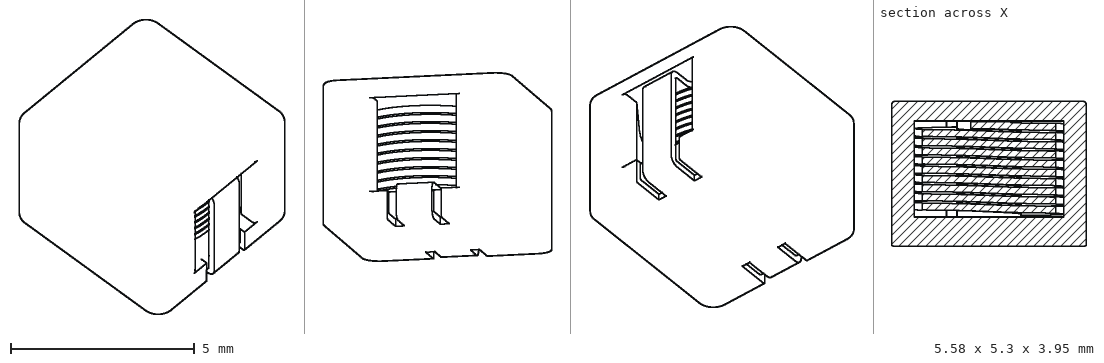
import cadquery as cq
import math

BODY_X = 5.5
BODY_Y = 5.3
BODY_Z = 3.95
CORNER_RADIUS = 0.5
TOP_FILLET = 0.1
BOTTOM_FILLET = 0.05

FLOOR_Z = 0.8
CEILING_Z = 3.4
CHAMBER_HEIGHT = CEILING_Z - FLOOR_Z
CHAMBER_RADIUS = 2.25
WINDOW_HALF_WIDTH = 1.15
WINDOW_EDGE_RADIUS = 0.1

CORE_RADIUS = 1.75 / 2
WIRE_HEIGHT = 0.2
WIRE_OUTER_RADIUS = 2.07
WIRE_OVERLAP = 0.05
WIRE_INNER_RADIUS = CORE_RADIUS - WIRE_OVERLAP
COIL_PITCH = 0.25
COIL_TURNS = 9.5
COIL_RISE = COIL_PITCH * COIL_TURNS
COIL_BOTTOM_Z = FLOOR_Z + (CHAMBER_HEIGHT - COIL_RISE - WIRE_HEIGHT) / 2

TERMINAL_WIDTH = 1.0
TERMINAL_THICKNESS = WIRE_HEIGHT
TERMINAL_PROTRUSION = 0.04
TERMINAL_BEND_RADIUS = 0.265
TERMINAL_FACE_X = BODY_X / 2 + TERMINAL_PROTRUSION
LEAD_CORE_GAP = 0.1
TERMINAL_INNER_X = CORE_RADIUS + LEAD_CORE_GAP
FOOT_LENGTH = 1.0
LEAD_FILLET = 0.15

GROOVE_WIDTH = 1.5
GROOVE_EDGE_RADIUS = 0.05
GROOVE_BACK_X = TERMINAL_FACE_X - TERMINAL_THICKNESS
FOOT_GROOVE_END_X = TERMINAL_FACE_X - FOOT_LENGTH


def make_housing():
    housing = cq.Workplane("XY").box(BODY_X, BODY_Y, BODY_Z, centered=(True, True, False))
    housing = housing.edges("|Z").fillet(CORNER_RADIUS)
    housing = housing.faces(">Z").edges().fillet(TOP_FILLET)
    return housing.faces("<Z").edges().fillet(BOTTOM_FILLET)


def make_chamber():
    """Round chamber whose wall runs on along tangents to the inner corners of the windows."""
    corner_angle = math.atan2(WINDOW_HALF_WIDTH, CHAMBER_RADIUS)
    corner_distance = math.hypot(WINDOW_HALF_WIDTH, CHAMBER_RADIUS)
    tangent_angle = corner_angle + math.acos(CHAMBER_RADIUS / corner_distance)
    tangent_x = CHAMBER_RADIUS * math.cos(tangent_angle)
    tangent_y = CHAMBER_RADIUS * math.sin(tangent_angle)
    return (
        cq.Workplane("XY", origin=(0, 0, FLOOR_Z))
        .moveTo(CHAMBER_RADIUS, -WINDOW_HALF_WIDTH)
        .lineTo(CHAMBER_RADIUS, WINDOW_HALF_WIDTH)
        .lineTo(tangent_x, tangent_y)
        .threePointArc((0, CHAMBER_RADIUS), (-tangent_x, tangent_y))
        .lineTo(-CHAMBER_RADIUS, WINDOW_HALF_WIDTH)
        .lineTo(-CHAMBER_RADIUS, -WINDOW_HALF_WIDTH)
        .lineTo(-tangent_x, -tangent_y)
        .threePointArc((0, -CHAMBER_RADIUS), (tangent_x, -tangent_y))
        .close()
        .extrude(CHAMBER_HEIGHT)
    )


def make_window():
    """Window in the -X wall; its upright outer edges are rounded."""
    face_x = -BODY_X / 2
    flared_half_width = WINDOW_HALF_WIDTH + WINDOW_EDGE_RADIUS
    flare_end_x = face_x + WINDOW_EDGE_RADIUS
    return (
        cq.Workplane("XY", origin=(0, 0, FLOOR_Z))
        .moveTo(face_x, flared_half_width)
        .radiusArc((flare_end_x, WINDOW_HALF_WIDTH), -WINDOW_EDGE_RADIUS)
        .lineTo(-CHAMBER_RADIUS, WINDOW_HALF_WIDTH)
        .lineTo(-CHAMBER_RADIUS, -WINDOW_HALF_WIDTH)
        .lineTo(flare_end_x, -WINDOW_HALF_WIDTH)
        .radiusArc((face_x, -flared_half_width), -WINDOW_EDGE_RADIUS)
        .close()
        .extrude(CHAMBER_HEIGHT)
    )


def make_groove():
    """Groove below the -X window, continuing under the base; its back edges are rounded."""
    r = GROOVE_EDGE_RADIUS
    outside_x = -BODY_X / 2 - TERMINAL_THICKNESS
    back_x = -GROOVE_BACK_X
    foot_z = TERMINAL_THICKNESS
    return (
        cq.Workplane("XZ", origin=(0, GROOVE_WIDTH / 2, 0))
        .moveTo(outside_x, 0)
        .lineTo(-FOOT_GROOVE_END_X, 0)
        .lineTo(-FOOT_GROOVE_END_X, foot_z)
        .lineTo(back_x + r, foot_z)
        .radiusArc((back_x, foot_z + r), r)
        .lineTo(back_x, FLOOR_Z - r)
        .radiusArc((back_x + r, FLOOR_Z), r)
        .lineTo(outside_x, FLOOR_Z)
        .close()
        .extrude(GROOVE_WIDTH)
    )


def make_terminal(top_z):
    """C-shaped strip on the -X side: lead at top_z, leg down the wall and foot under the base."""
    outer_r = TERMINAL_BEND_RADIUS
    inner_r = outer_r - TERMINAL_THICKNESS
    outer_x = -TERMINAL_FACE_X
    leg_back_x = outer_x + TERMINAL_THICKNESS
    bend_x = outer_x + outer_r
    foot_end_x = outer_x + FOOT_LENGTH
    return (
        cq.Workplane("XZ", origin=(0, TERMINAL_WIDTH / 2, 0))
        .moveTo(-TERMINAL_INNER_X, top_z)
        .lineTo(bend_x, top_z)
        .radiusArc((outer_x, top_z - outer_r), -outer_r)
        .lineTo(outer_x, outer_r)
        .radiusArc((bend_x, 0), -outer_r)
        .lineTo(foot_end_x, 0)
        .lineTo(foot_end_x, TERMINAL_THICKNESS)
        .lineTo(bend_x, TERMINAL_THICKNESS)
        .radiusArc((leg_back_x, outer_r), inner_r)
        .lineTo(leg_back_x, top_z - outer_r)
        .radiusArc((bend_x, top_z - TERMINAL_THICKNESS), inner_r)
        .lineTo(-TERMINAL_INNER_X, top_z - TERMINAL_THICKNESS)
        .close()
        .extrude(TERMINAL_WIDTH)
    )


def make_lead_web(bottom_z):
    """Web rounding the corner between the +Y side of the -X lead and the outside of the coil."""
    side_y = TERMINAL_WIDTH / 2
    centre_distance = WIRE_OUTER_RADIUS + LEAD_FILLET
    centre_y = side_y + LEAD_FILLET
    centre_x = -math.sqrt(centre_distance**2 - centre_y**2)
    touch_scale = WIRE_OUTER_RADIUS / centre_distance
    touch_x = centre_x * touch_scale
    touch_y = centre_y * touch_scale
    return (
        cq.Workplane("XY", origin=(0, 0, bottom_z))
        .moveTo(centre_x, side_y)
        .radiusArc((touch_x, touch_y), -LEAD_FILLET)
        .lineTo(-TERMINAL_INNER_X, touch_y)
        .lineTo(-TERMINAL_INNER_X, side_y)
        .close()
        .extrude(WIRE_HEIGHT)
    )


def make_coil():
    """Flat wire wound left-handed, starting at -X just above the floor and ending at +X."""
    mean_radius = (WIRE_INNER_RADIUS + WIRE_OUTER_RADIUS) / 2
    wire_width = WIRE_OUTER_RADIUS - WIRE_INNER_RADIUS
    path = cq.Wire.makeHelix(COIL_PITCH, COIL_RISE, mean_radius, lefthand=True)
    coil = (
        cq.Workplane("XZ")
        .center(mean_radius, 0)
        .rect(wire_width, WIRE_HEIGHT)
        .sweep(cq.Workplane(path), isFrenet=True)
    )
    start_z = COIL_BOTTOM_Z + WIRE_HEIGHT / 2
    return coil.rotate((0, 0, 0), (0, 0, 1), 180).translate((0, 0, start_z))


def opposite(shape):
    """Mirror image of a -X side feature on the +X side."""
    return shape.mirror("YZ")


housing = make_housing().cut(make_chamber())
for cutter in (make_window(), make_groove()):
    housing = housing.cut(cutter).cut(opposite(cutter))

core = cq.Workplane("XY", origin=(0, 0, FLOOR_Z)).circle(CORE_RADIUS).extrude(CHAMBER_HEIGHT)
last_turn_z = COIL_BOTTOM_Z + COIL_RISE

result = (
    housing.union(core)
    .union(make_coil())
    .union(make_terminal(COIL_BOTTOM_Z + WIRE_HEIGHT))
    .union(make_lead_web(COIL_BOTTOM_Z))
    .union(opposite(make_terminal(last_turn_z + WIRE_HEIGHT)))
    .union(opposite(make_lead_web(last_turn_z)))
)